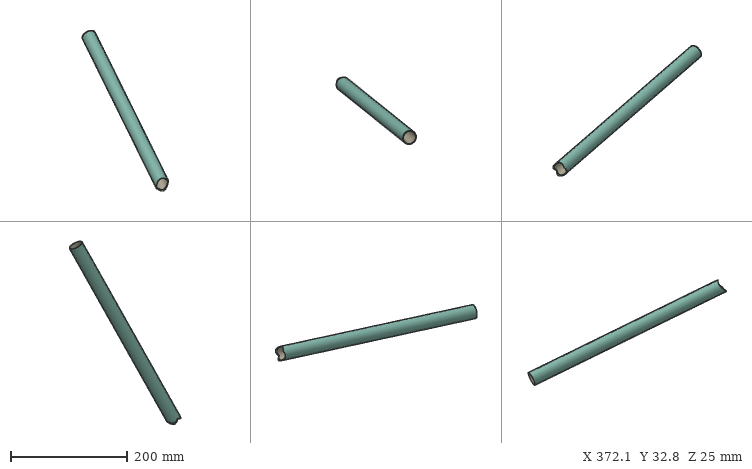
import cadquery as cq

overall_length = 372.2
tube_diameter = 25.0
wall_thickness = 1.5
tilt_angle = 1.2
cope_diameter = 28.0

tube_radius = tube_diameter / 2
cope_radius = cope_diameter / 2
tip_setback = (cope_radius**2 - tube_radius**2) ** 0.5
corner_distance = overall_length + tip_setback
stock_overrun = cope_diameter
stock_length = corner_distance + 2 * stock_overrun
leg_length = 2 * cope_diameter


def tilt(body):
    return body.rotate((0, 0, 0), (0, 0, 1), -tilt_angle)


def stock_cylinder(diameter):
    return cq.Workplane("YZ", origin=(-stock_overrun, 0, 0)).circle(diameter / 2).extrude(stock_length)


def corner_leg(plane, side_points):
    """One leg of the mitred corner: a round bar kept on one side of the plane Y = Z."""
    bar = cq.Workplane(plane).circle(cope_radius).extrude(leg_length, both=True)
    half_space = cq.Workplane("YZ").polyline(side_points).close().extrude(leg_length, both=True)
    return bar.intersect(half_space).translate((corner_distance, 0, 0))


bore_diameter = tube_diameter - 2 * wall_thickness
tube = tilt(stock_cylinder(tube_diameter).cut(stock_cylinder(bore_diameter)))

square_end_cut = cq.Workplane("YZ").rect(leg_length, leg_length).extrude(-2 * stock_overrun)

lower_corner = (-leg_length, -leg_length)
upper_corner = (leg_length, leg_length)
vertical_leg = tilt(corner_leg("XY", [lower_corner, upper_corner, (-leg_length, leg_length)]))
side_leg = tilt(corner_leg("XZ", [lower_corner, upper_corner, (leg_length, -leg_length)]))

beyond_corner = tilt(
    cq.Workplane("YZ", origin=(corner_distance, 0, 0)).rect(leg_length, leg_length).extrude(2 * stock_overrun)
)

result = tube.cut(square_end_cut).cut(vertical_leg).cut(side_leg).cut(beyond_corner)